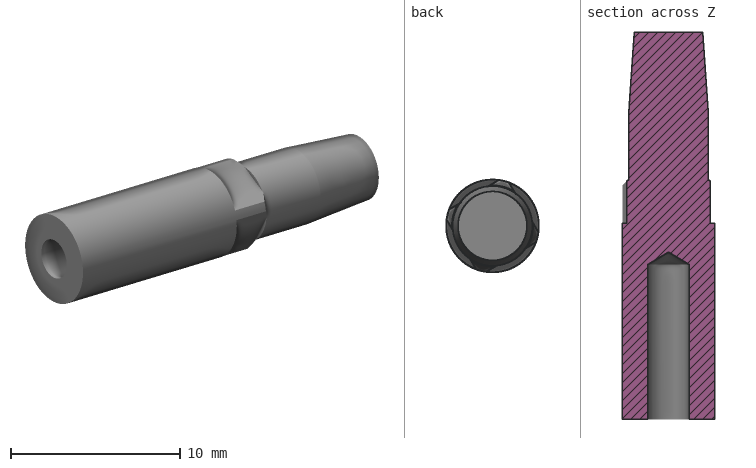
import cadquery as cq
import math

LENGTH = 22.9
FLATS_START = 11.6
SHOULDER = 14.18
TAPER_START = 18.25

BODY_DIAMETER = 5.5
NECK_DIAMETER = 4.72
TIP_DIAMETER = 4.08
BORE_DIAMETER = 2.4

SHOULDER_CHAMFER = 0.35

FLAT_COUNT = 4
ACROSS_FLATS = 4.28
FIRST_FLAT_ANGLE = 59.2

BORE_DEPTH = 9.15
DRILL_POINT_ANGLE = 118.0


def revolve_about_y(points):
    """Turn a closed (radius, y) profile about the Y axis."""
    return cq.Workplane("XY").polyline(points).close().revolve(360, (0, 0, 0), (0, 1, 0))


def make_body():
    """Cylindrical body, chamfered shoulder, neck and tapered tip."""
    body_radius = BODY_DIAMETER / 2
    neck_radius = NECK_DIAMETER / 2
    return revolve_about_y([
        (0, 0),
        (body_radius, 0),
        (body_radius, SHOULDER - SHOULDER_CHAMFER),
        (body_radius - SHOULDER_CHAMFER, SHOULDER),
        (neck_radius, SHOULDER),
        (neck_radius, TAPER_START),
        (TIP_DIAMETER / 2, LENGTH),
        (0, LENGTH),
    ])


def make_flat_cutter(angle):
    """Block that removes the material outside one wrench flat."""
    cutter = cq.Workplane("XY").box(
        BODY_DIAMETER, SHOULDER - FLATS_START, BODY_DIAMETER, centered=(False, False, True)
    )
    cutter = cutter.translate((ACROSS_FLATS / 2, FLATS_START, 0))
    return cutter.rotate((0, 0, 0), (0, 1, 0), -angle)


def make_bore():
    """Drilled hole from the front face, ending in a cone."""
    radius = BORE_DIAMETER / 2
    point_depth = radius / math.tan(math.radians(DRILL_POINT_ANGLE / 2))
    return revolve_about_y([
        (0, 0),
        (radius, 0),
        (radius, BORE_DEPTH),
        (0, BORE_DEPTH + point_depth),
    ])


result = make_body().cut(make_bore())
for index in range(FLAT_COUNT):
    result = result.cut(make_flat_cutter(FIRST_FLAT_ANGLE + index * 360 / FLAT_COUNT))